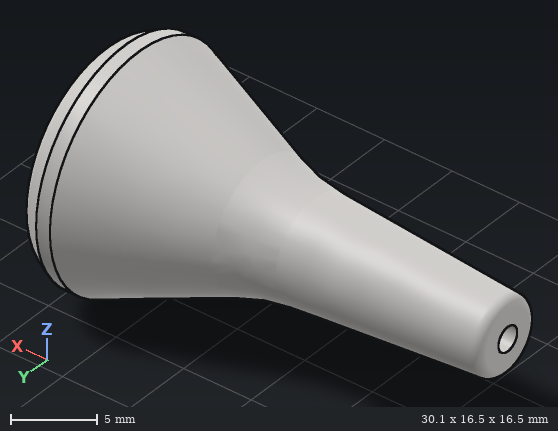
import cadquery as cq

length = 30.05
rim_radius = 8.25
bore_radius = 0.87

tip_radius = 2.67
tip_fillet = 0.7
throat_x = 16.32
throat_radius = 3.82
throat_fillet = 12.92

rim_start_x = 27.35
rim_end_x = 28.37
bevel_slope = 0.5
back_fillet = 1.35
back_radius = rim_radius - bevel_slope * (length - rim_end_x)


def ring_edge(body, x, radius, tolerance=0.003):
    """Select the circular edge at station x with the given radius."""
    low = (x - tolerance, -radius - tolerance, -radius - tolerance)
    high = (x + tolerance, radius + tolerance, radius + tolerance)
    return body.edges(cq.selectors.BoxSelector(low, high, boundingbox=True)).edges("%CIRCLE")


body = (
    cq.Workplane("XY")
    .moveTo(0, 0)
    .lineTo(0, tip_radius)
    .lineTo(throat_x, throat_radius)
    .lineTo(rim_start_x, rim_radius)
    .lineTo(rim_end_x, rim_radius)
    .lineTo(length, back_radius)
    .lineTo(length, 0)
    .close()
    .revolve(360, (0, 0, 0), (1, 0, 0))
)

body = ring_edge(body, 0, tip_radius).fillet(tip_fillet)
body = ring_edge(body, throat_x, throat_radius).fillet(throat_fillet)
body = ring_edge(body, length, back_radius).fillet(back_fillet)

bore = cq.Workplane("YZ").circle(bore_radius).extrude(length)
result = body.cut(bore)